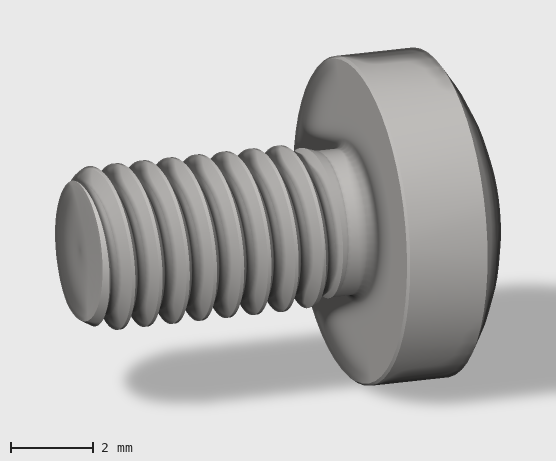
import cadquery as cq
import math


head_radius = 4.0
head_height = 3.1
dome_height = 1.05
dome_flat_radius = 2.1
head_edge_chamfer = 0.06

thread_radius = 2.0
pitch = 0.7
sharp_height = pitch * math.sqrt(3) / 2
root_arc_radius = sharp_height / 6
root_radius = thread_radius - 17 / 24 * sharp_height
flank_half_angle = math.radians(30)

shank_length = 7.0
neck_radius = 1.775
neck_length = 0.7
neck_fillet = 0.2
shoulder_length = pitch
tip_radius = 1.715
tip_chamfer_length = (thread_radius - tip_radius) / math.tan(flank_half_angle)
tip_dimple_radius = 1.6
tip_dimple_depth = 0.06

first_groove_z = -shank_length + 0.335
full_turns = 8
lead_in_turns = 1
runout_turns = 0.85
runout_lift_per_turn = (neck_radius - root_radius) / runout_turns
runout_steps = 8
groove_overshoot = 0.04


def revolve_about_axis(half_section):
    """Turn a half section, sketched as radius and height, about the screw axis."""
    return half_section.close().revolve(360, (0, 0, 0), (0, 1, 0))


def make_head():
    """Button head: flat-topped spherical dome over a cylinder with a broken lower edge."""
    shoulder_z = head_height - dome_height
    flat_above_centre = (head_radius**2 - dome_flat_radius**2 + dome_height**2) / (2 * dome_height)
    dome_radius = math.hypot(dome_flat_radius, flat_above_centre)
    dome_centre_z = head_height - flat_above_centre
    middle_radius = (head_radius + dome_flat_radius) / 2
    middle_z = dome_centre_z + math.sqrt(dome_radius**2 - middle_radius**2)
    return revolve_about_axis(
        cq.Workplane("XZ")
        .lineTo(head_radius - head_edge_chamfer, 0)
        .lineTo(head_radius, head_edge_chamfer)
        .lineTo(head_radius, shoulder_z)
        .threePointArc((middle_radius, middle_z), (dome_flat_radius, head_height))
        .lineTo(0, head_height)
    )


def make_neck():
    """Plain neck with a concave fillet running into the underside of the head."""
    fillet_offset = neck_fillet * (1 - math.sqrt(0.5))
    return revolve_about_axis(
        cq.Workplane("XZ")
        .lineTo(neck_radius + neck_fillet, 0)
        .threePointArc((neck_radius + fillet_offset, -fillet_offset), (neck_radius, -neck_fillet))
        .lineTo(neck_radius, -neck_length)
        .lineTo(0, -neck_length)
    )


def make_thread_blank():
    """Unthreaded body: shallow cone below the neck, cylinder, tip chamfer, shallow hollow in the tip.

    The seam of the revolved faces is put on the -X side, clear of the groove's start and end.
    """
    outline = [
        (0, -neck_length),
        (neck_radius, -neck_length),
        (thread_radius, -neck_length - shoulder_length),
        (thread_radius, -shank_length + tip_chamfer_length),
        (tip_radius, -shank_length),
        (tip_dimple_radius, -shank_length),
        (0, -shank_length + tip_dimple_depth),
    ]
    blank = revolve_about_axis(cq.Workplane("XZ").polyline(outline))
    return blank.rotate((0, 0, 0), (0, 0, 1), 180)


def groove_profile(turn, lift=0.0):
    """60 degree groove section with a rounded root, a number of turns along the helix.

    The section plane holds the screw axis: local x is radial, local y is along the axis.
    """
    angle = 2 * math.pi * turn
    radial = cq.Vector(math.cos(angle), math.sin(angle), 0)
    origin = cq.Vector(0, 0, first_groove_z + pitch * turn)
    plane = cq.Plane(origin=origin, xDir=radial, normal=radial.cross(cq.Vector(0, 0, 1)))

    bottom = root_radius + lift
    outer = thread_radius + groove_overshoot + lift
    tangent_x = bottom + root_arc_radius * (1 - math.sin(flank_half_angle))
    tangent_half_width = root_arc_radius * math.cos(flank_half_angle)
    outer_half_width = tangent_half_width + (outer - tangent_x) * math.tan(flank_half_angle)
    return (
        cq.Workplane(plane)
        .moveTo(outer, -outer_half_width)
        .lineTo(tangent_x, -tangent_half_width)
        .threePointArc((bottom, 0), (tangent_x, tangent_half_width))
        .lineTo(outer, outer_half_width)
        .close()
    )


def make_groove():
    """Constant-depth helical groove starting beyond the tip."""
    start_z = first_groove_z - lead_in_turns * pitch
    length = (full_turns + lead_in_turns) * pitch
    helix = cq.Wire.makeHelix(pitch, length, thread_radius, center=cq.Vector(0, 0, start_z))
    return groove_profile(-lead_in_turns).sweep(cq.Workplane(helix), isFrenet=True)


def make_groove_runout():
    """Last part of the groove, rising out of the shank as it reaches the neck."""
    sections = []
    for step in range(runout_steps + 1):
        turn = runout_turns * step / runout_steps
        profile = groove_profile(full_turns + turn, runout_lift_per_turn * turn)
        sections.append(profile.wire().val())
    return cq.Workplane(cq.Solid.makeLoft(sections))


threaded_shank = make_thread_blank().cut(make_groove()).cut(make_groove_runout())
upright_screw = make_head().union(make_neck()).union(threaded_shank)
result = upright_screw.rotate((0, 0, 0), (1, 0, 0), -90)